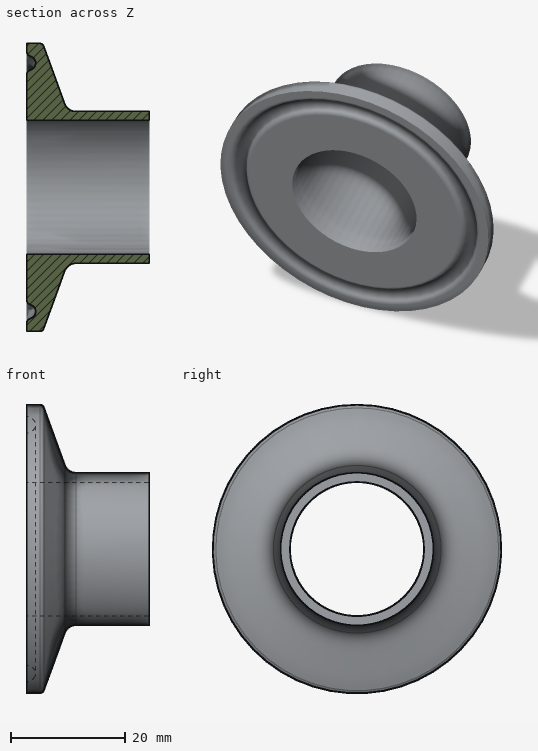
import cadquery as cq
import math

flange_diameter = 50.5
length = 21.5
tube_diameter = 26.7
bore_diameter = 23.4

rim_thickness = 2.85
back_slope = 20.0
rim_fillet = 0.8
neck_fillet = 2.0

groove_diameter = 43.5
groove_width = 4.0
groove_floor_radius = 1.2
groove_lip_radius = 0.8
wall_draft = 25.0

flange_radius = flange_diameter / 2
tube_radius = tube_diameter / 2
bore_radius = bore_diameter / 2
groove_radius = groove_diameter / 2


def ferrule_body():
    """Revolve the outline, without its groove, about the X axis."""
    slope = math.radians(back_slope)
    neck_corner_x = rim_thickness + (flange_radius - tube_radius) * math.tan(slope)
    turn = math.radians(90) - slope

    rim_x = rim_thickness - rim_fillet * math.tan(turn / 2)
    rim_centre_z = flange_radius - rim_fillet
    neck_x = neck_corner_x + neck_fillet * math.tan(turn / 2)
    neck_centre_z = tube_radius + neck_fillet

    def on_rim(angle):
        return (rim_x + rim_fillet * math.sin(angle), rim_centre_z + rim_fillet * math.cos(angle))

    def on_neck(angle):
        return (neck_x - neck_fillet * math.sin(angle), neck_centre_z - neck_fillet * math.cos(angle))

    outline = (
        cq.Workplane("XZ")
        .moveTo(0, bore_radius)
        .lineTo(0, flange_radius)
        .lineTo(*on_rim(0))
        .threePointArc(on_rim(turn / 2), on_rim(turn))
        .lineTo(*on_neck(turn))
        .threePointArc(on_neck(turn / 2), on_neck(0))
        .lineTo(length, tube_radius)
        .lineTo(length, bore_radius)
        .close()
    )
    return outline.revolve(360, (0, 0, 0), (1, 0, 0))


def groove_cutter():
    """Ring with a round floor, drafted walls and rounded lips, each tangent to the next."""
    half_width = groove_width / 2
    turn = math.radians(90 - wall_draft)
    lip_x = groove_lip_radius * (1 - math.cos(turn))
    lip_offset = half_width - groove_lip_radius * math.sin(turn)
    lip_mid_x = groove_lip_radius * (1 - math.cos(turn / 2))
    lip_mid_offset = half_width - groove_lip_radius * math.sin(turn / 2)
    floor_offset = groove_floor_radius * math.sin(turn)
    floor_x = lip_x + (lip_offset - floor_offset) * math.tan(turn)
    bottom_x = floor_x + groove_floor_radius * (1 - math.cos(turn))
    profile = (
        cq.Workplane("XZ")
        .moveTo(0, groove_radius - half_width)
        .threePointArc((lip_mid_x, groove_radius - lip_mid_offset), (lip_x, groove_radius - lip_offset))
        .lineTo(floor_x, groove_radius - floor_offset)
        .threePointArc((bottom_x, groove_radius), (floor_x, groove_radius + floor_offset))
        .lineTo(lip_x, groove_radius + lip_offset)
        .threePointArc((lip_mid_x, groove_radius + lip_mid_offset), (0, groove_radius + half_width))
        .close()
    )
    return profile.revolve(360, (0, 0, 0), (1, 0, 0))


result = ferrule_body().cut(groove_cutter())